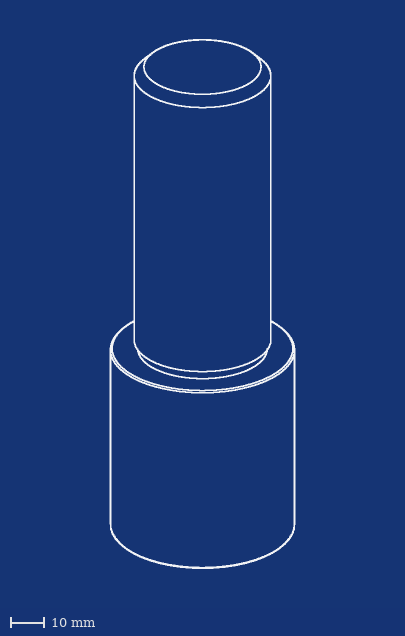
import cadquery as cq

total_height = 155.0
head_diameter = 55.0
head_height = 60.0
head_chamfer = 0.5
shank_diameter = 40.9
shank_chamfer = 3.0
neck_diameter = 38.8
neck_height = 3.0

shank_base = head_height + neck_height
shank_length = total_height - shank_base


def cylinder(diameter, height, base):
    """Upright cylinder on the Z axis, starting at the given level."""
    return cq.Workplane("XY").workplane(offset=base).circle(diameter / 2).extrude(height)


head = cylinder(head_diameter, head_height, 0).edges("%CIRCLE").chamfer(head_chamfer)

neck = cylinder(neck_diameter, neck_height, head_height)

shank = cylinder(shank_diameter, shank_length, shank_base).faces(">Z").edges().chamfer(shank_chamfer)

result = head.union(neck).union(shank)